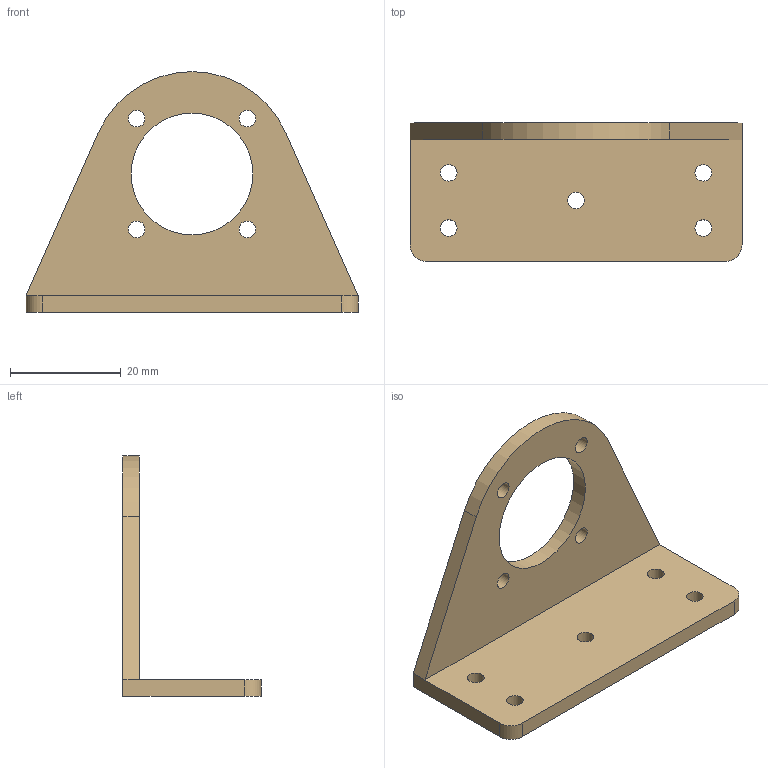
import cadquery as cq
import math

width = 60.0
depth = 25.0
thickness = 3.0
corner_radius = 3.0

bore_height = 25.0
head_radius = 18.5
bore_diameter = 22.0
motor_hole_pitch = 20.0

screw_diameter = 3.0
base_hole_pitch_x = 46.0
base_hole_pitch_y = 10.0

base_hole_center_y = (depth - thickness) / 2


def square_corners(pitch_x, pitch_y):
    """Four points of a rectangle centred on the origin."""
    return [(sx * pitch_x / 2, sy * pitch_y / 2) for sx in (-1, 1) for sy in (-1, 1)]


def make_base():
    """Flat plate with its front edge at Y = 0 and its two front corners rounded."""
    base = cq.Workplane("XY").box(width, depth, thickness, centered=(True, False, False))
    return base.edges("|Z and <Y").fillet(corner_radius)


def make_upright():
    """Plate at the back edge whose straight flanks run tangent into the round head."""
    half_width = width / 2
    drop = bore_height - thickness
    corner_distance = math.hypot(half_width, drop)
    tangent_angle = math.acos(head_radius / corner_distance) - math.atan2(drop, half_width)
    tangent_x = head_radius * math.cos(tangent_angle)
    tangent_z = bore_height + head_radius * math.sin(tangent_angle)

    return (
        cq.Workplane("XZ", origin=(0, depth, 0))
        .moveTo(-half_width, 0)
        .lineTo(half_width, 0)
        .lineTo(half_width, thickness)
        .lineTo(tangent_x, tangent_z)
        .threePointArc((0, bore_height + head_radius), (-tangent_x, tangent_z))
        .lineTo(-half_width, thickness)
        .close()
        .extrude(thickness)
    )


def make_upright_holes():
    """Large bore and the square of screw holes around it."""
    plane = cq.Workplane("XZ", origin=(0, depth, bore_height))
    bore = plane.circle(bore_diameter / 2).extrude(thickness)
    screws = (
        plane.pushPoints(square_corners(motor_hole_pitch, motor_hole_pitch))
        .circle(screw_diameter / 2)
        .extrude(thickness)
    )
    return bore.union(screws)


def make_base_holes():
    """Four outer mounting holes and one in the middle."""
    points = square_corners(base_hole_pitch_x, base_hole_pitch_y) + [(0, 0)]
    return (
        cq.Workplane("XY", origin=(0, base_hole_center_y, 0))
        .pushPoints(points)
        .circle(screw_diameter / 2)
        .extrude(thickness)
    )


bracket = make_base().union(make_upright())
result = bracket.cut(make_upright_holes()).cut(make_base_holes())